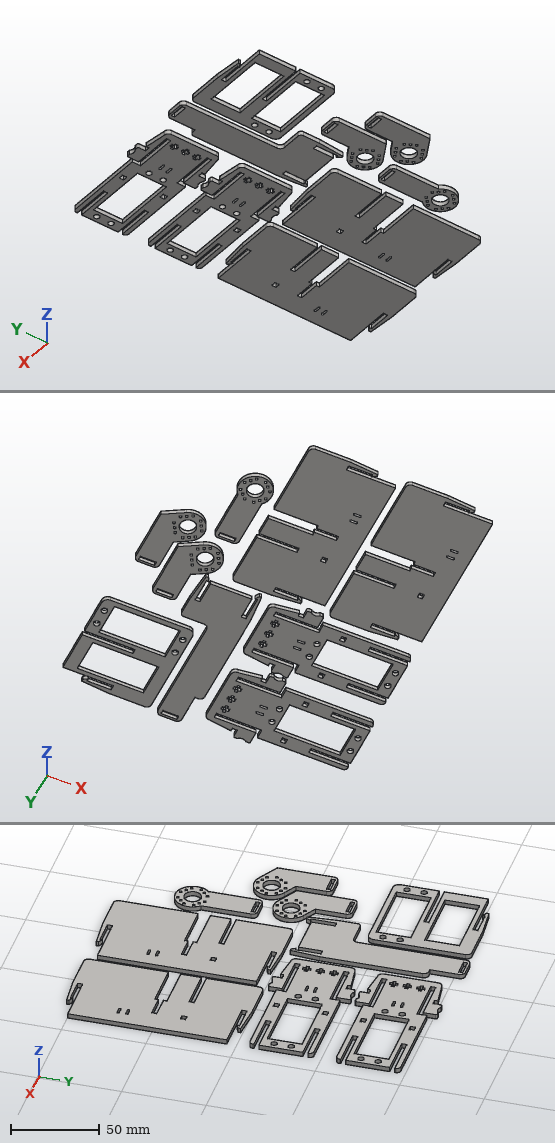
import cadquery as cq
import math


THICKNESS = 3.0
SLOT = THICKNESS
BEAM = 3.0
CORNER = 3.0

CLIP_LENGTH = 17.8
CLIP_TIP = 1.5
BARB_START = 15.0
BARB_DEPTH = 1.5

WINDOW_LENGTH = 41.5
WINDOW_WIDTH = 20.5
SCREW_DIAMETER = 3.5
SCREW_PITCH_X = 49.3
SCREW_PITCH_Y = 10.2

TIE_LENGTH = 4.7
TIE_WIDTH = 1.3
TIE_PITCH = 5.0

NECK_WIDTH = 15.0
STRAP_LENGTH = 10.0
STRAP_WIDTH = 2.3
STRAP_INSET = 1.5

FRAME_LENGTH = 57.0
FRAME_HEIGHT = 61.3
FRAME_LOWER_CORNER = 3.8
FRAME_SLOT_END = 31.7
FRAME_SLOT_Y = 26.5
FRAME_WINDOW_YS = (13.5, 42.3)
FRAME_POSITION = (0, 148.3)

CORE_WIDTH = 26.0
BLOCK_WIDTH = CORE_WIDTH + 2 * (SLOT + BEAM)

ARM_LENGTH = 98.1
ARM_BLOCK_HEIGHT = 28.0
ARM_SHOULDER_DROP = 20.0
ARM_SLOT_DEPTH = 14.2
ARM_NECK_X = 18.0
ARM_BLOCK_CORNER = 2.1
ARM_POSITION = (44.2, 113.4)

BRACKET_LENGTH = 89.0
FLAP_CORNER = 2.3
BRACKET_ROOT = 4.9
BRACKET_BODY_X = 33.2
BRACKET_SLOT_X = 64.3
BRACKET_WINDOW_X = 60.5
SQUARE_X = 47.8
CROSS_X = 8.0
CROSS_PITCH = 8.0
CROSS_LENGTH = 4.7
CROSS_ARM = 1.7
BRACKET_TIE_X = 27.0
LATCH_RAMP_START = 3.2
LATCH_RAMP_END = 17.5
LATCH_RAMP_RISE = 2.0
TAB_START = 20.7
TAB_END = 31.0
TAB_TIP = 24.3
TAB_CORNER = 0.8
NOTCH_CHORD = 5.3
NOTCH_DEPTH = 1.0
BRACKET_POSITIONS = ((88.5, 183.5), (87.5, 132.0))

PANEL_LENGTH = 56.0
PANEL_HEIGHT = 106.0
PANEL_SLOT_X = 25.2
PANEL_FEATURE_OFFSET = 17.3
PANEL_SQUARE_X = 41.5
PANEL_GAP_LENGTH = 28.0
PANEL_GAP_HEIGHT = 7.2
PANEL_GAP_SLOT_END = 41.7
PANEL_TIE_X = 44.8
PANEL_POSITIONS = ((59.6, PANEL_HEIGHT / 2), (120.5, PANEL_HEIGHT / 2))

HUB_RADIUS = 10.4
HUB_BORE = 10.0
HORN_LENGTH = 39.8
BENT_HUB_DROP = 34.7
BENT_HUB_X = 17.8
BENT_ANGLE = -30
STRAIGHT_PIN_ANGLE = 45
PIN_DIAMETER = 1.5
PIN_ROW_DISTANCE = 7.6
PIN_PITCH = 3.5
STRAIGHT_HORN_POSITION = (36.8, 81.5)
BENT_HORN_POSITIONS = ((3.2, 116.3), (22.0, 133.2))


def plate(points):
    return cq.Workplane("XY").polyline(points).close().extrude(THICKNESS)


def block(x0, x1, y0, y1):
    return plate([(x0, y0), (x1, y0), (x1, y1), (x0, y1)])


def centred_block(x, y, length, width):
    return block(x - length / 2, x + length / 2, y - width / 2, y + width / 2)


def disc(x, y, diameter):
    return cq.Workplane("XY").center(x, y).circle(diameter / 2).extrude(THICKNESS)


def round_corners(body, points, radius):
    for x, y in points:
        corner = cq.selectors.NearestToPointSelector((x, y, THICKNESS / 2))
        body = body.edges("|Z").edges(corner).fillet(radius)
    return body


def at(body, position):
    return body.translate((*position, 0))


def turned(body, angle):
    return body.rotate((0, 0, 0), (0, 0, 1), angle)


def clip():
    """Clip along +X from its root, with the slot on its lower side at Y = 0."""
    return plate([
        (0, 0), (BARB_START, 0), (BARB_START, -BARB_DEPTH),
        (CLIP_LENGTH, 0), (CLIP_LENGTH, CLIP_TIP), (0, BEAM),
    ])


def screw_holes(x, y):
    centres = [
        (x + i * SCREW_PITCH_X / 2, y + j * SCREW_PITCH_Y / 2)
        for i in (-1, 1) for j in (-1, 1)
    ]
    return cq.Workplane("XY").pushPoints(centres).circle(SCREW_DIAMETER / 2).extrude(THICKNESS)


def tie_slots(x, y):
    centres = [(x, y - TIE_PITCH / 2), (x, y + TIE_PITCH / 2)]
    return cq.Workplane("XY").pushPoints(centres).slot2D(TIE_LENGTH, TIE_WIDTH).extrude(THICKNESS)


def neck(x, top, length):
    """Upright neck with rounded upper corners and a strap slot; x is its left side."""
    right = x + NECK_WIDTH
    body = block(x, right, top - length, top)
    body = round_corners(body, [(x, top), (right, top)], CORNER)
    slot_y = top - STRAP_INSET - STRAP_WIDTH / 2
    return body.cut(centred_block(x + NECK_WIDTH / 2, slot_y, STRAP_LENGTH, STRAP_WIDTH))


def make_frame():
    slot_top = FRAME_HEIGHT - BEAM
    body = block(0, FRAME_LENGTH, 0, FRAME_HEIGHT)
    body = round_corners(body, [(0, 0), (FRAME_LENGTH, 0)], FRAME_LOWER_CORNER)
    body = round_corners(body, [(FRAME_LENGTH, FRAME_HEIGHT)], CORNER)
    body = body.cut(block(0, FRAME_SLOT_END, slot_top - SLOT, FRAME_HEIGHT))
    body = body.cut(block(0, FRAME_SLOT_END, FRAME_SLOT_Y, FRAME_SLOT_Y + SLOT))
    body = body.union(at(clip().mirror("YZ"), (FRAME_SLOT_END, slot_top)))
    for y in FRAME_WINDOW_YS:
        body = body.cut(centred_block(FRAME_LENGTH / 2, y, WINDOW_LENGTH, WINDOW_WIDTH))
    return body.cut(screw_holes(FRAME_LENGTH / 2, FRAME_WINDOW_YS[0]))


def make_arm():
    middle = BLOCK_WIDTH / 2
    shoulder = ARM_LENGTH - ARM_SHOULDER_DROP
    body = plate([
        (0, ARM_SLOT_DEPTH), (BLOCK_WIDTH, ARM_SLOT_DEPTH), (BLOCK_WIDTH, shoulder),
        (ARM_NECK_X, shoulder), (ARM_NECK_X, ARM_BLOCK_HEIGHT), (0, ARM_BLOCK_HEIGHT),
    ])
    body = round_corners(body, [(BLOCK_WIDTH, shoulder), (ARM_NECK_X, ARM_BLOCK_HEIGHT)], CORNER)
    body = round_corners(body, [(0, ARM_BLOCK_HEIGHT)], ARM_BLOCK_CORNER)
    body = body.union(neck(ARM_NECK_X, ARM_LENGTH, ARM_SHOULDER_DROP))
    body = body.union(block(middle - CORE_WIDTH / 2, middle + CORE_WIDTH / 2, 0, ARM_SLOT_DEPTH))
    right_clip = at(turned(clip(), -90), (CORE_WIDTH / 2 + SLOT, ARM_SLOT_DEPTH))
    for side in (right_clip, right_clip.mirror("YZ")):
        body = body.union(at(side, (middle, 0)))
    return body


def latch_beam():
    """Upper beam with a ramped catch and a tab whose end has a shallow round notch."""
    inner = CORE_WIDTH / 2 + SLOT
    outer = BLOCK_WIDTH / 2
    middle = (TAB_START + TAB_END) / 2
    beam = (
        cq.Workplane("XY")
        .moveTo(LATCH_RAMP_START, inner)
        .lineTo(TAB_END, inner)
        .lineTo(TAB_END, TAB_TIP)
        .lineTo(middle + NOTCH_CHORD / 2, TAB_TIP)
        .threePointArc((middle, TAB_TIP - NOTCH_DEPTH), (middle - NOTCH_CHORD / 2, TAB_TIP))
        .lineTo(TAB_START, TAB_TIP)
        .lineTo(TAB_START, outer)
        .lineTo(LATCH_RAMP_END, outer)
        .lineTo(LATCH_RAMP_END, outer + LATCH_RAMP_RISE)
        .lineTo(LATCH_RAMP_START, outer)
        .close()
        .extrude(THICKNESS)
    )
    return round_corners(beam, [(TAB_START, TAB_TIP), (TAB_END, TAB_TIP)], TAB_CORNER)


def make_bracket():
    half = BLOCK_WIDTH / 2
    slot_middle = (CORE_WIDTH + SLOT) / 2
    root = block(0, BRACKET_ROOT, -half, half)
    root = round_corners(root, [(0, -half), (0, half)], CORNER)
    wide = block(BRACKET_BODY_X, BRACKET_LENGTH, -half, half)
    wide = round_corners(wide, [(BRACKET_LENGTH, -half), (BRACKET_LENGTH, half)], FLAP_CORNER)
    right_slot = block(
        BRACKET_SLOT_X, BRACKET_LENGTH, slot_middle - SLOT / 2, slot_middle + SLOT / 2
    )
    beam = latch_beam()
    square = centred_block(SQUARE_X, slot_middle, SLOT, SLOT)
    core = block(BRACKET_ROOT, BRACKET_BODY_X, -CORE_WIDTH / 2, CORE_WIDTH / 2)

    body = core.union(root).union(wide).union(beam).union(beam.mirror("XZ"))
    for cutout in (right_slot, square):
        body = body.cut(cutout).cut(cutout.mirror("XZ"))
    body = body.cut(centred_block(BRACKET_WINDOW_X, 0, WINDOW_LENGTH, WINDOW_WIDTH))
    body = body.cut(screw_holes(BRACKET_WINDOW_X, 0))
    body = body.cut(tie_slots(BRACKET_TIE_X, 0))
    for y in (-CROSS_PITCH, 0, CROSS_PITCH):
        body = body.cut(centred_block(CROSS_X, y, CROSS_LENGTH, CROSS_ARM))
        body = body.cut(centred_block(CROSS_X, y, CROSS_ARM, CROSS_LENGTH))
    return body


def make_panel():
    half = PANEL_HEIGHT / 2
    slot_outer = half - BEAM
    core_half = slot_outer - SLOT
    root = block(0, PANEL_SLOT_X, -half, half)
    root = round_corners(root, [(0, -half), (0, half)], CORNER)
    body = root.union(block(PANEL_SLOT_X, PANEL_LENGTH, -core_half, core_half))
    top_clip = at(clip(), (PANEL_SLOT_X, slot_outer))
    body = body.union(top_clip).union(top_clip.mirror("XZ"))
    upper_slot = centred_block(PANEL_SLOT_X / 2, PANEL_FEATURE_OFFSET, PANEL_SLOT_X, SLOT)
    body = body.cut(upper_slot)
    body = body.cut(centred_block(PANEL_SQUARE_X, PANEL_FEATURE_OFFSET, SLOT, SLOT))
    body = body.cut(block(0, PANEL_GAP_LENGTH, -PANEL_GAP_HEIGHT / 2, PANEL_GAP_HEIGHT / 2))
    body = body.cut(block(0, PANEL_GAP_SLOT_END, -SLOT / 2, SLOT / 2))
    return body.cut(tie_slots(PANEL_TIE_X, -PANEL_FEATURE_OFFSET))


def drill_hub(body, x, y, first_angle):
    """Bore and four rows of three pin holes; each row is square to its direction."""
    body = body.cut(disc(x, y, HUB_BORE))
    row = [(PIN_ROW_DISTANCE, i * PIN_PITCH) for i in (-1, 0, 1)]
    pins = cq.Workplane("XY").pushPoints(row).circle(PIN_DIAMETER / 2).extrude(THICKNESS)
    for quarter in range(4):
        body = body.cut(at(turned(pins, first_angle + 90 * quarter), (x, y)))
    return body


def make_straight_horn():
    x = NECK_WIDTH / 2
    hub = disc(x, -HORN_LENGTH, 2 * HUB_RADIUS)
    body = neck(0, 0, HORN_LENGTH).union(hub)
    return drill_hub(body, x, -HORN_LENGTH, STRAIGHT_PIN_ANGLE)


def make_bent_horn():
    """The sides of the bent part run tangent to the hub from both sides of the neck."""
    angle = math.radians(BENT_ANGLE)
    slope = math.tan(angle)
    dx = -HUB_RADIUS * math.sin(angle)
    dy = HUB_RADIUS * math.cos(angle)
    upper = (BENT_HUB_X + dx, -BENT_HUB_DROP + dy)
    lower = (BENT_HUB_X - dx, -BENT_HUB_DROP - dy)
    upper_bend = upper[1] + slope * (NECK_WIDTH - upper[0])
    lower_bend = lower[1] - slope * lower[0]
    bend = plate([
        (0, upper_bend), (NECK_WIDTH, upper_bend), upper, lower, (0, lower_bend),
    ])
    body = neck(0, 0, -upper_bend).union(bend)
    body = body.union(disc(BENT_HUB_X, -BENT_HUB_DROP, 2 * HUB_RADIUS))
    return drill_hub(body, BENT_HUB_X, -BENT_HUB_DROP, BENT_ANGLE)


frame = at(make_frame(), FRAME_POSITION)
arm = at(make_arm(), ARM_POSITION)
brackets = [at(make_bracket(), position) for position in BRACKET_POSITIONS]
panels = [at(make_panel(), position) for position in PANEL_POSITIONS]
straight_horn = at(make_straight_horn(), STRAIGHT_HORN_POSITION)
bent_horns = [at(make_bent_horn(), position) for position in BENT_HORN_POSITIONS]

bodies = [frame, arm, *brackets, *panels, straight_horn, *bent_horns]
result = cq.Compound.makeCompound([body.val() for body in bodies])